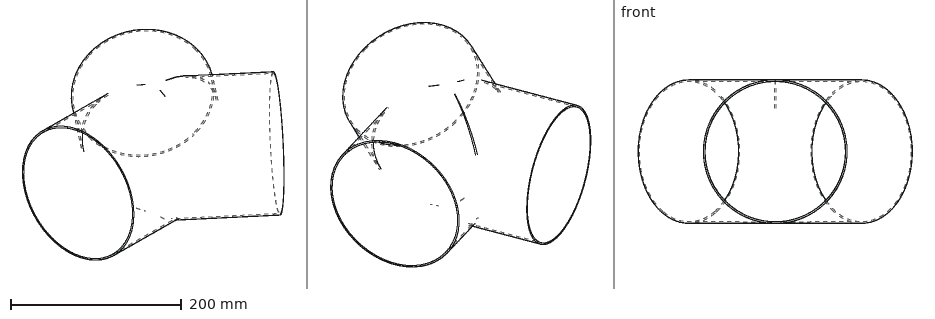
import cadquery as cq
import math

outer_diameter = 168.3
wall = 2.0
inner_diameter = outer_diameter - 2 * wall
leg_length = 143.0
branch_angle = 45.0

seam_outer_radius = 2.0
seam_inner_radius = seam_outer_radius + wall

tilt = math.radians(branch_angle)
main_direction = (0, -1, 0)
branch_directions = [(side * math.sin(tilt), math.cos(tilt), 0) for side in (1, -1)]


def leg(diameter, direction):
    """Solid cylinder from the axis crossing to the open end of one leg."""
    start_plane = cq.Plane(origin=(0, 0, 0), xDir=(0, 0, 1), normal=direction)
    return cq.Workplane(start_plane).circle(diameter / 2).extrude(leg_length)


def joined_legs(diameter, seam_radius):
    """Union of the three legs with its three elliptical seams rounded."""
    body = leg(diameter, main_direction)
    for direction in branch_directions:
        body = body.union(leg(diameter, direction))
    seams = [edge for edge in body.edges().vals() if edge.geomType() == "ELLIPSE"]
    return body.newObject(seams).fillet(seam_radius)


outside = joined_legs(outer_diameter, seam_outer_radius)
bore = joined_legs(inner_diameter, seam_inner_radius)
result = outside.cut(bore)